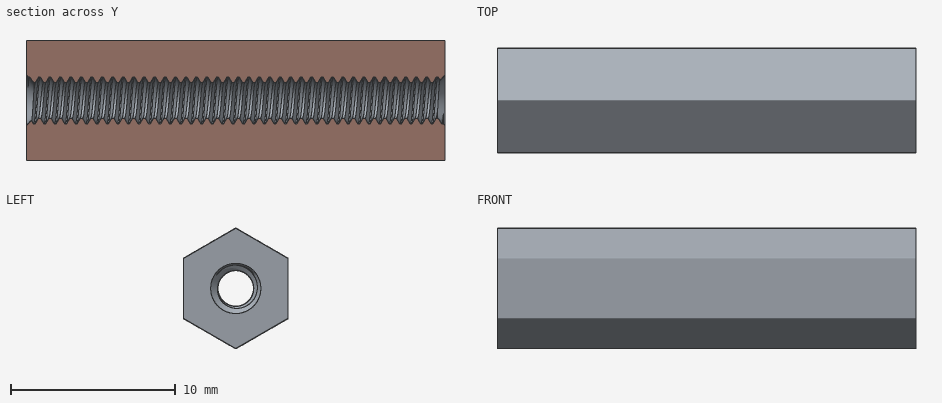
import cadquery as cq
import math

INCH = 25.4
ORIGIN = (0, 0, 0)
X_AXIS = (1, 0, 0)
Y_AXIS = (0, 1, 0)

length = INCH
across_flats = INCH / 4
across_corners = across_flats / math.cos(math.pi / 6)
edge_radius = 0.002 * INCH

threads_per_inch = 40
pitch = INCH / threads_per_inch
major_radius = 0.112 * INCH / 2
root_flat = pitch / 8
crest_flat = pitch / 4
groove_width = pitch - crest_flat
flank_width = (groove_width - root_flat) / 2
half_flank_angle = math.pi / 6
minor_radius = major_radius - flank_width / math.tan(half_flank_angle)

countersink_radius = 0.12 * INCH / 2

extra_turns = 2
screw_turns = math.ceil(length / pitch) + 2 * extra_turns
screw_length = screw_turns * pitch

screw_start_x = -length / 2 - extra_turns * pitch - groove_width / 2


def hex_bar():
    """Hexagonal bar centred on the origin, corners up and down, all edges lightly rounded."""
    bar = cq.Workplane("YZ").polygon(6, across_corners).extrude(length / 2, both=True)
    return bar.rotate(ORIGIN, X_AXIS, 90).edges().fillet(edge_radius)


def helix_turn(radius, height):
    """Edge that climbs one pitch in one turn about Z, starting on the XZ plane."""
    helix = cq.Wire.makeHelix(pitch, pitch, radius).Edges()[0]
    return helix.translate(cq.Vector(0, 0, height))


def thread_screw():
    """Solid screw along X whose surface is the wall of the threaded hole.

    Each turn has a flank, the root, a flank and the crest. Each end is closed by one turn
    of a helical ramp down to the axis and by the flat step between the ends of that ramp.
    """
    profile = [
        (minor_radius, 0),
        (major_radius, flank_width),
        (major_radius, flank_width + root_flat),
        (minor_radius, groove_width),
        (minor_radius, pitch),
    ]
    faces = []
    for turn in range(screw_turns):
        base = turn * pitch
        for (low_radius, low), (high_radius, high) in zip(profile, profile[1:]):
            lower_edge = helix_turn(low_radius, base + low)
            upper_edge = helix_turn(high_radius, base + high)
            faces.append(cq.Face.makeRuledSurface(lower_edge, upper_edge))
    for base in (0, screw_length):
        axis_bottom = cq.Vector(0, 0, base)
        axis_top = cq.Vector(0, 0, base + pitch)
        axis = cq.Edge.makeLine(axis_bottom, axis_top)
        faces.append(cq.Face.makeRuledSurface(axis, helix_turn(minor_radius, base)))
        rim = [cq.Vector(radius, 0, base + height) for radius, height in profile]
        step = cq.Wire.makePolygon([axis_bottom, *rim, axis_top], close=True)
        faces.append(cq.Face.makeFromWires(step))
    screw = cq.Workplane(cq.Solid.makeSolid(cq.Shell.makeShell(faces)))
    screw = screw.rotate(ORIGIN, Y_AXIS, 90).rotate(ORIGIN, X_AXIS, 90)
    return screw.translate((screw_start_x, 0, 0))


def countersink(end):
    """Cone opening outward at the end face given by the sign of X."""
    face_x = end * length / 2
    tip_x = face_x - end * countersink_radius
    half_section = [(tip_x, 0), (face_x, 0), (face_x, countersink_radius)]
    return cq.Workplane("XY").polyline(half_section).close().revolve(360, ORIGIN, X_AXIS)


result = hex_bar().cut(thread_screw())
for end in (-1, 1):
    result = result.cut(countersink(end))